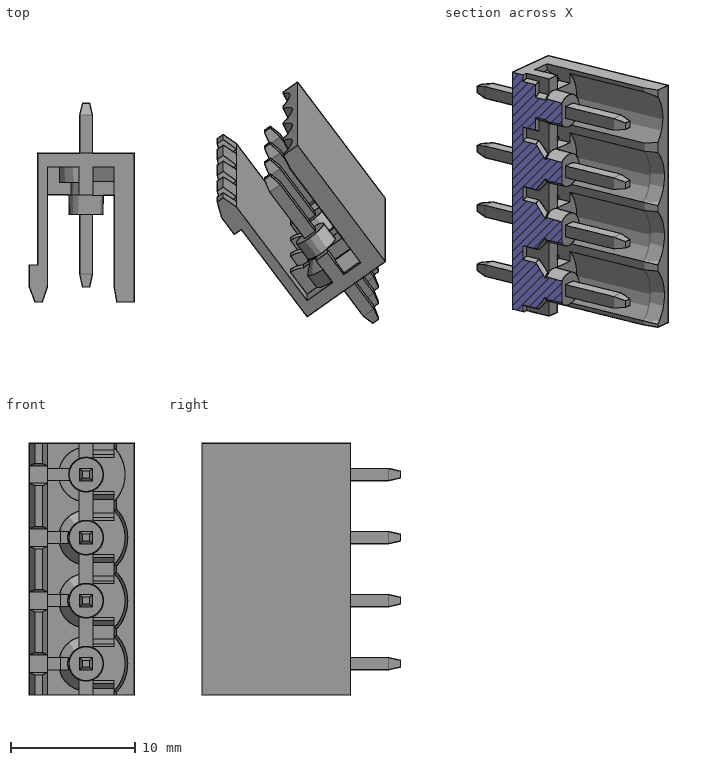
import cadquery as cq


POLE_COUNT = 4
PITCH = 5.08
LENGTH = POLE_COUNT * PITCH
POLE_HEIGHTS = [PITCH * (index + 0.5) for index in range(POLE_COUNT)]
TOP_POLE = POLE_HEIGHTS[-1]

BACK_Y = 12.0
FLOOR_Y = 10.9
WALL_OUTER_X = 3.9
LATCH_WALL_INNER_X = -3.1
GUIDE_WALL_INNER_X = 2.25
LEAD_IN_DEPTH = 1.25
GUIDE_TIP_X = 2.47
HOOK_OUTER_X = -4.6
HOOK_LENGTH = 3.0
HOOK_TIP_OUTER_X = -4.12
HOOK_TIP_INNER_X = -3.52

RIB_HALF_WIDTH = 0.56
RIB_FRONT_Y = 8.64

BOSS_RADIUS = 2.2
BOSS_FRONT_Y = 9.65
NECK_RADIUS = 1.31
COLLAR_BASE_RADIUS = 1.4
COLLAR_TIP_RADIUS = 1.36
COLLAR_FRONT_Y = 7.05

WEB_HALF_HEIGHT = 0.49
WEB_BEND_X = -2.05
WEB_BEND_DROP = 0.3

SEAT_FRONT_Y = 8.6
SEAT_GAP_HALF = 1.17
POCKET_HALF = 0.94
POCKET_FLOOR_HALF = 0.55
LEDGE_Y = 9.7

CHANNEL_RADIUS = 3.14
CHANNEL_MOUTH_RADIUS = 3.36

NOTCH_FLOOR_HALF = 0.7
NOTCH_MOUTH_HALF = 0.9

PIN_WIDTH = 1.05
PIN_HEIGHT = 1.0
PIN_TIP_WIDTH = 0.58
PIN_TIP_HEIGHT = 0.55
PIN_FRONT_Y = 1.2
PIN_LENGTH = 14.83
PIN_BACK_Y = PIN_FRONT_Y + PIN_LENGTH
PIN_FRONT_TAPER = 1.05
PIN_BACK_TAPER = 0.97


def block(x_start, x_end, y_start, y_end, z_start, z_end):
    """Axis-aligned box between the given limits."""
    size = (x_end - x_start, y_end - y_start, z_end - z_start)
    return cq.Workplane("XY").box(*size, centered=False).translate((x_start, y_start, z_start))


def turned(y_start, start_radius, y_end, end_radius, height):
    """Cylinder or cone about the pole axis at the given height."""
    profile = [(0, y_start), (start_radius, y_start), (end_radius, y_end), (0, y_end)]
    body = cq.Workplane("XY").polyline(profile).close().revolve(360, (0, 0), (0, 1))
    return body.translate((0, 0, height))


def shell():
    """Back plate with the hooked latch wall and the plain guide wall."""
    outline = [
        (-WALL_OUTER_X, BACK_Y),
        (-WALL_OUTER_X, HOOK_LENGTH),
        (HOOK_OUTER_X, HOOK_LENGTH),
        (HOOK_OUTER_X, LEAD_IN_DEPTH),
        (HOOK_TIP_OUTER_X, 0),
        (HOOK_TIP_INNER_X, 0),
        (LATCH_WALL_INNER_X, LEAD_IN_DEPTH),
        (LATCH_WALL_INNER_X, FLOOR_Y),
        (GUIDE_WALL_INNER_X, FLOOR_Y),
        (GUIDE_WALL_INNER_X, LEAD_IN_DEPTH),
        (GUIDE_TIP_X, 0),
        (WALL_OUTER_X, 0),
        (WALL_OUTER_X, BACK_Y),
    ]
    return cq.Workplane("XY").polyline(outline).close().extrude(LENGTH)


def channel(height):
    """Cutter for the guide-wall channel; every pole but the top one has a flared mouth."""
    cutter = turned(0, CHANNEL_RADIUS, SEAT_FRONT_Y, CHANNEL_RADIUS, height)
    if height != TOP_POLE:
        cutter = cutter.union(turned(0, CHANNEL_MOUTH_RADIUS, LEAD_IN_DEPTH, CHANNEL_RADIUS, height))
    guide_side = block(GUIDE_WALL_INNER_X, WALL_OUTER_X, 0, BACK_Y, height - PITCH, height + PITCH)
    return cutter.intersect(guide_side)


def notch(height):
    """Cutter for a flared notch across the tip of the latch hook."""
    profile = [
        (0, height - NOTCH_MOUTH_HALF),
        (LEAD_IN_DEPTH, height - NOTCH_FLOOR_HALF),
        (LEAD_IN_DEPTH, height + NOTCH_FLOOR_HALF),
        (0, height + NOTCH_MOUTH_HALF),
    ]
    hook_width = LATCH_WALL_INNER_X - HOOK_OUTER_X
    cutter = cq.Workplane("YZ").polyline(profile).close().extrude(hook_width)
    return cutter.translate((HOOK_OUTER_X, 0, 0))


def web(height):
    """Web from latch wall to pole; every web but the top one bends back before the pole."""
    bottom = height - WEB_HALF_HEIGHT
    top = height + WEB_HALF_HEIGHT
    if height == TOP_POLE:
        return block(LATCH_WALL_INNER_X, 0, RIB_FRONT_Y, FLOOR_Y, bottom, top)
    low_y = RIB_FRONT_Y + WEB_BEND_DROP
    run = WEB_BEND_X - LATCH_WALL_INNER_X
    radius = (run**2 + WEB_BEND_DROP**2) / (2 * WEB_BEND_DROP)
    outline = cq.Workplane("XY").moveTo(LATCH_WALL_INNER_X, FLOOR_Y)
    outline = outline.lineTo(LATCH_WALL_INNER_X, RIB_FRONT_Y)
    outline = outline.radiusArc((WEB_BEND_X, low_y), -radius)
    outline = outline.lineTo(0, low_y).lineTo(0, FLOOR_Y).close()
    return outline.extrude(top - bottom).translate((0, 0, bottom))


def seat(height):
    """Seat beside the pole, stepping down to a ledge and sloped pocket sides above and below."""
    pocket_side = PITCH / 2 - POCKET_HALF
    pocket_floor_side = PITCH / 2 - POCKET_FLOOR_HALF
    seat_side = PITCH / 2 - SEAT_GAP_HALF
    upper = [
        (FLOOR_Y, pocket_floor_side),
        (LEDGE_Y, pocket_side),
        (LEDGE_Y, seat_side),
        (SEAT_FRONT_Y, seat_side),
    ]
    lower = [(y, -z) for y, z in reversed(upper)]
    profile = cq.Workplane("YZ").polyline(upper + lower).close()
    width = GUIDE_WALL_INNER_X - RIB_HALF_WIDTH
    return profile.extrude(width).translate((RIB_HALF_WIDTH, 0, height))


def boss(height):
    """Boss, neck and collar; every boss but the top one has a 45 degree cone at its front."""
    body = turned(BOSS_FRONT_Y, BOSS_RADIUS, FLOOR_Y, BOSS_RADIUS, height)
    if height != TOP_POLE:
        cone_front_y = BOSS_FRONT_Y - (BOSS_RADIUS - NECK_RADIUS)
        body = body.union(turned(cone_front_y, NECK_RADIUS, BOSS_FRONT_Y, BOSS_RADIUS, height))
    latch_side = block(-BOSS_RADIUS, 0, RIB_FRONT_Y, FLOOR_Y, height - PITCH, height + PITCH)
    neck = turned(RIB_FRONT_Y, NECK_RADIUS, FLOOR_Y, NECK_RADIUS, height)
    collar = turned(COLLAR_FRONT_Y, COLLAR_TIP_RADIUS, RIB_FRONT_Y, COLLAR_BASE_RADIUS, height)
    return body.union(neck).intersect(latch_side).union(collar)


def pin(height):
    """Rectangular pin through the housing with a tapered tip at both ends."""

    def tapered_tip(wide_y, tip_y):
        base = cq.Workplane("XZ", origin=(0, wide_y, height)).rect(PIN_WIDTH, PIN_HEIGHT)
        return base.workplane(offset=wide_y - tip_y).rect(PIN_TIP_WIDTH, PIN_TIP_HEIGHT).loft()

    half_width = PIN_WIDTH / 2
    bottom = height - PIN_HEIGHT / 2
    top = height + PIN_HEIGHT / 2
    front_shoulder = PIN_FRONT_Y + PIN_FRONT_TAPER
    back_shoulder = PIN_BACK_Y - PIN_BACK_TAPER
    body = block(-half_width, half_width, front_shoulder, back_shoulder, bottom, top)
    body = body.union(tapered_tip(front_shoulder, PIN_FRONT_Y))
    return body.union(tapered_tip(back_shoulder, PIN_BACK_Y))


def header():
    """Complete header: shell and rib, then the cuts and the parts of each pole."""
    part = shell()
    for height in POLE_HEIGHTS:
        part = part.cut(channel(height)).cut(notch(height))
    part = part.union(block(-RIB_HALF_WIDTH, RIB_HALF_WIDTH, RIB_FRONT_Y, FLOOR_Y, 0, LENGTH))
    for height in POLE_HEIGHTS:
        for feature in (web, seat, boss, pin):
            part = part.union(feature(height))
    return part


result = header()